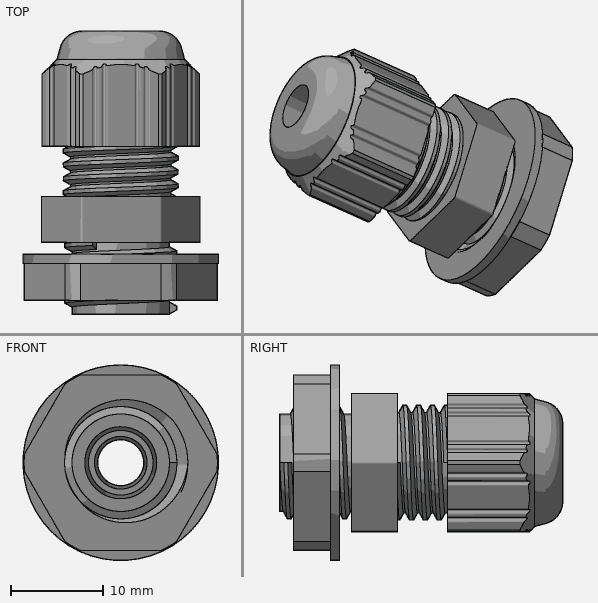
import cadquery as cq
import math


HEX_SIDES = 6
HEX_STEP = 360 / HEX_SIDES

NUT_START = 1.5
NUT_HEX_HEIGHT = 4.0
NUT_FLANGE_THICKNESS = 1.0
NUT_END = NUT_START + NUT_HEX_HEIGHT + NUT_FLANGE_THICKNESS
BODY_HEX_START = 7.78
BODY_HEX_HEIGHT = 5.0
BODY_HEX_END = BODY_HEX_START + BODY_HEX_HEIGHT
CAP_START = 18.18
SHOULDER_END = 27.59
DOME_BASE = 27.68
TOTAL_LENGTH = 30.68

PITCH = 1.5
ENTRY_CORE_RADIUS = 5.28
ENTRY_CREST_RADIUS = 6.08
ENTRY_THREAD_START = 0.67
ENTRY_THREAD_RISE = 7.0
CLAMP_CORE_RADIUS = 5.45
CLAMP_CREST_RADIUS = 6.23
CLAMP_THREAD_START = 12.42
CLAMP_THREAD_RISE = 4 * PITCH
CREST_WIDTH = 0.42
ROOT_WIDTH = 1.28
THREAD_EMBED = 0.05
THREAD_SEAM_ANGLE = -90
NUT_BORE_SEAM_ANGLE = 45

NUT_ACROSS_FLATS = 19.0
NUT_CORNER_RADIUS = 10.46
NUT_FLANGE_RADIUS = 10.6
NUT_BORE_RADIUS = 5.95
NUT_GROOVE_RADIUS = 7.27
NUT_GROOVE_MOUTH = 1.42
NUT_GROOVE_OFFSET = 0.08
NUT_GROOVE_FLOOR = 0.16

ACROSS_FLATS = 15.0
BODY_CORNER_FILLET = 0.4
CAP_CORNER_RADIUS = 8.54
CAP_SHOULDER_RADIUS = 6.97
DOME_BASE_RADIUS = 6.9
DOME_TAPER_DEGREES = 15.0
DOME_FILLET = 2.5
GRIP_GROOVE_WIDTH = 0.82
GRIP_GROOVE_DEPTH = 0.27
GRIP_GROOVE_OFFSETS = (1.79, 2.79)

ENTRY_BORE_RADIUS = 3.9
THROAT_BORE_RADIUS = 3.5
SEAL_ENTRY_RADIUS = 2.85
SEAL_EXIT_RADIUS = 2.48
SEAL_START = 20.0


def cylinder(radius, start, end, seam_angle=THREAD_SEAM_ANGLE):
    """Upright cylinder with its seam line at the given angle from +X."""
    outline = cq.Workplane("XY").workplane(offset=start).circle(radius)
    return outline.extrude(end - start).rotate((0, 0, 0), (0, 0, 1), seam_angle)


def hexagon(across_flats, start, height):
    corner_diameter = across_flats / math.cos(math.pi / HEX_SIDES)
    return cq.Workplane("XY").workplane(offset=start).polygon(HEX_SIDES, corner_diameter).extrude(height)


def helical_ridge(root_radius, crest_radius, root_width, crest_width, start, rise):
    """Right-handed ridge with sloping flanks whose centre line begins on +X at height start.

    Its flanks run on a little below the root radius so that it overlaps what it stands on.
    """
    flank_spread = (root_width - crest_width) / (crest_radius - root_radius)
    foot_radius = root_radius - THREAD_EMBED
    foot_width = root_width + flank_spread * THREAD_EMBED
    path = cq.Wire.makeHelix(PITCH, rise, foot_radius).moved(cq.Location(cq.Vector(0, 0, start)))
    section = [
        (foot_radius, start - foot_width / 2),
        (crest_radius, start - crest_width / 2),
        (crest_radius, start + crest_width / 2),
        (foot_radius, start + foot_width / 2),
    ]
    return cq.Workplane("XZ").polyline(section).close().sweep(cq.Workplane(path), isFrenet=True)


def make_body():
    """Gripping hexagon with a threaded stem on either side."""
    entry = cylinder(ENTRY_CORE_RADIUS, 0, BODY_HEX_START).union(
        helical_ridge(
            ENTRY_CORE_RADIUS,
            ENTRY_CREST_RADIUS,
            ROOT_WIDTH,
            CREST_WIDTH,
            ENTRY_THREAD_START,
            ENTRY_THREAD_RISE,
        )
    )
    clamp = cylinder(CLAMP_CORE_RADIUS, BODY_HEX_END, CAP_START).union(
        helical_ridge(
            CLAMP_CORE_RADIUS,
            CLAMP_CREST_RADIUS,
            ROOT_WIDTH,
            CREST_WIDTH,
            CLAMP_THREAD_START,
            CLAMP_THREAD_RISE,
        )
    )
    grip = hexagon(ACROSS_FLATS, BODY_HEX_START, BODY_HEX_HEIGHT)
    grip = grip.edges("|Z").fillet(BODY_CORNER_FILLET)
    return grip.union(entry).union(clamp)


def make_locknut():
    """Flanged hexagon with an internal thread that bites into the crest of the entry thread."""
    hex_part = hexagon(NUT_ACROSS_FLATS, NUT_START, NUT_HEX_HEIGHT)
    hex_part = hex_part.intersect(cylinder(NUT_CORNER_RADIUS, NUT_START, NUT_END))
    nut = hex_part.union(cylinder(NUT_FLANGE_RADIUS, NUT_END - NUT_FLANGE_THICKNESS, NUT_END))
    bore = cylinder(NUT_BORE_RADIUS, NUT_START, NUT_END, NUT_BORE_SEAM_ANGLE)
    nut = nut.cut(bore)
    groove = helical_ridge(
        NUT_BORE_RADIUS,
        NUT_GROOVE_RADIUS,
        NUT_GROOVE_MOUTH,
        NUT_GROOVE_FLOOR,
        NUT_START + NUT_GROOVE_OFFSET - PITCH,
        NUT_END - NUT_START + 2 * PITCH,
    )
    return nut.cut(groove)


def grip_groove(middle):
    """Wave-shaped groove in the -Y flat, with rounded rims and a rounded bottom of equal radius."""
    flat = -ACROSS_FLATS / 2
    step = GRIP_GROOVE_WIDTH / 4
    drop = GRIP_GROOVE_DEPTH / 2
    steepest = 2 * math.atan(drop / step)
    radius = step / math.sin(steepest)
    mid_step = radius * math.sin(steepest / 2)
    mid_drop = radius * (1 - math.cos(steepest / 2))
    bottom = flat + GRIP_GROOVE_DEPTH
    outside = flat - GRIP_GROOVE_DEPTH
    left = middle - 2 * step
    right = middle + 2 * step
    return (
        cq.Workplane("XY")
        .workplane(offset=CAP_START)
        .moveTo(left, outside)
        .lineTo(left, flat)
        .threePointArc((left + mid_step, flat + mid_drop), (left + step, flat + drop))
        .threePointArc((middle - mid_step, bottom - mid_drop), (middle, bottom))
        .threePointArc((middle + mid_step, bottom - mid_drop), (right - step, flat + drop))
        .threePointArc((right - mid_step, flat + mid_drop), (right, flat))
        .lineTo(right, outside)
        .close()
        .extrude(SHOULDER_END - CAP_START)
    )


def make_cap():
    """Grooved hexagonal skirt with a sloping shoulder, closed by a rounded dome."""
    skirt = hexagon(ACROSS_FLATS, CAP_START, SHOULDER_END - CAP_START)
    for offset in GRIP_GROOVE_OFFSETS:
        for middle in (-offset, offset):
            groove = grip_groove(middle)
            for face in range(HEX_SIDES):
                skirt = skirt.cut(groove.rotate((0, 0, 0), (0, 0, 1), HEX_STEP * face))
    envelope = cylinder(CAP_CORNER_RADIUS, CAP_START, SHOULDER_END)
    envelope = envelope.faces(">Z").chamfer(CAP_CORNER_RADIUS - CAP_SHOULDER_RADIUS)
    collar = cylinder(DOME_BASE_RADIUS, SHOULDER_END, DOME_BASE)
    dome = (
        cq.Workplane("XY")
        .workplane(offset=DOME_BASE)
        .circle(DOME_BASE_RADIUS)
        .extrude(TOTAL_LENGTH - DOME_BASE, taper=DOME_TAPER_DEGREES)
        .faces(">Z")
        .edges()
        .fillet(DOME_FILLET)
    )
    return skirt.intersect(envelope).union(collar).union(dome)


def make_passage():
    """Tapered bore through the body, then a narrower tapered one through the seal and cap."""
    profile = [
        (0, 0),
        (ENTRY_BORE_RADIUS, 0),
        (THROAT_BORE_RADIUS, SEAL_START),
        (SEAL_ENTRY_RADIUS, SEAL_START),
        (SEAL_EXIT_RADIUS, TOTAL_LENGTH),
        (0, TOTAL_LENGTH),
    ]
    return cq.Workplane("XZ").polyline(profile).close().revolve(360, (0, 0, 0), (0, 1, 0))


gland = make_body().union(make_cap()).union(make_locknut()).cut(make_passage())
result = gland.rotate((0, 0, 0), (1, 0, 0), -90)